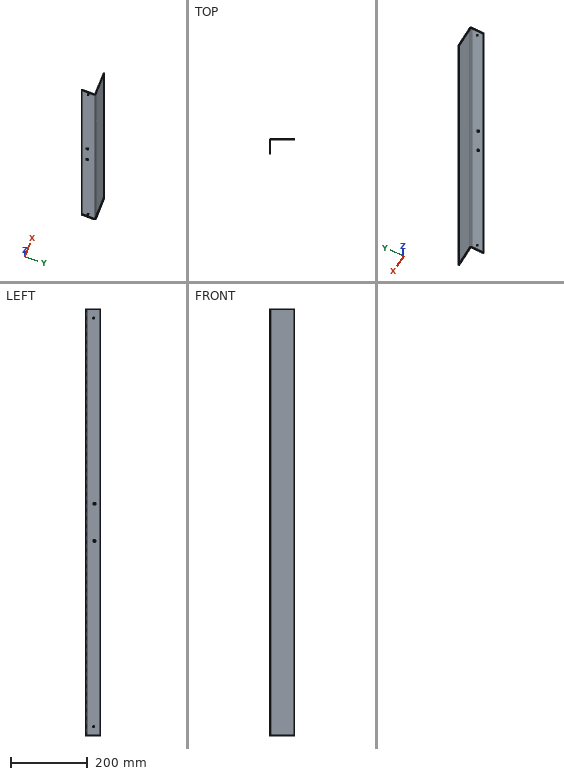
import cadquery as cq

width = 65.0
depth = 39.0
length = 1115.0

sheet = 2.0
inner_radius = 2.0
outer_radius = inner_radius + sheet

end_hole_offset = 18.0
end_hole_diameter = 2.5
end_hole_margin = 23.0
middle_hole_offset = 16.0
middle_hole_diameter = 5.0
middle_hole_spacing = 97.0
middle_hole_center = 558.0


def angle_profile():
    """L-shaped sheet section with a rounded bend along the back left corner."""
    return (
        cq.Workplane("XY")
        .moveTo(0, 0)
        .lineTo(sheet, 0)
        .lineTo(sheet, depth - outer_radius)
        .radiusArc((outer_radius, depth - sheet), inner_radius)
        .lineTo(width, depth - sheet)
        .lineTo(width, depth)
        .lineTo(outer_radius, depth)
        .radiusArc((0, depth - outer_radius), -outer_radius)
        .close()
    )


def leg_hole(offset, diameter, height):
    """Cutter running along X through the narrow leg."""
    return cq.Workplane("YZ").center(offset, height).circle(diameter / 2).extrude(sheet)


result = angle_profile().extrude(length)

for height in (end_hole_margin, length - end_hole_margin):
    result = result.cut(leg_hole(end_hole_offset, end_hole_diameter, height))

for side in (-1, 1):
    height = middle_hole_center + side * middle_hole_spacing / 2
    result = result.cut(leg_hole(middle_hole_offset, middle_hole_diameter, height))